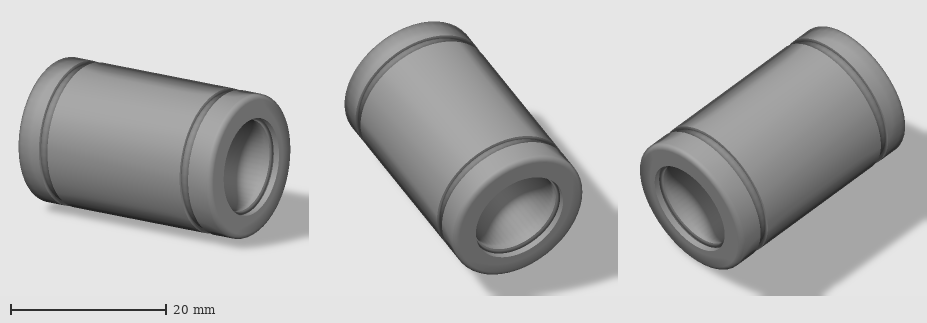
import cadquery as cq

length = 30.0
outer_diameter = 19.0
bore_diameter = 12.0
edge_radius = 0.65

lip_diameter = 12.8
lip_width = 0.8
undercut_diameter = 13.6
recess_depth = 1.2

groove_diameter = 18.0
groove_width = 1.32
groove_end_distance = 3.45


def ring(start_x, width, outside, inside):
    """Ring around the X axis, from start_x towards +X."""
    plane = cq.Workplane("YZ", origin=(start_x, 0, 0))
    return plane.circle(outside / 2).circle(inside / 2).extrude(width)


def disc(start_x, width, diameter):
    """Solid disc on the X axis, from start_x towards +X."""
    return cq.Workplane("YZ", origin=(start_x, 0, 0)).circle(diameter / 2).extrude(width)


body = disc(-length / 2, length, outer_diameter).edges().fillet(edge_radius)

body = body.cut(disc(-length / 2, length, bore_diameter))

groove_start = length / 2 - groove_end_distance - groove_width
undercut_width = recess_depth - lip_width
groove = ring(groove_start, groove_width, outer_diameter, groove_diameter)
lip_opening = disc(length / 2 - lip_width, lip_width, lip_diameter)
undercut = disc(length / 2 - recess_depth, undercut_width, undercut_diameter)
for cutter in (groove, lip_opening, undercut):
    body = body.cut(cutter).cut(cutter.mirror("YZ"))

result = body